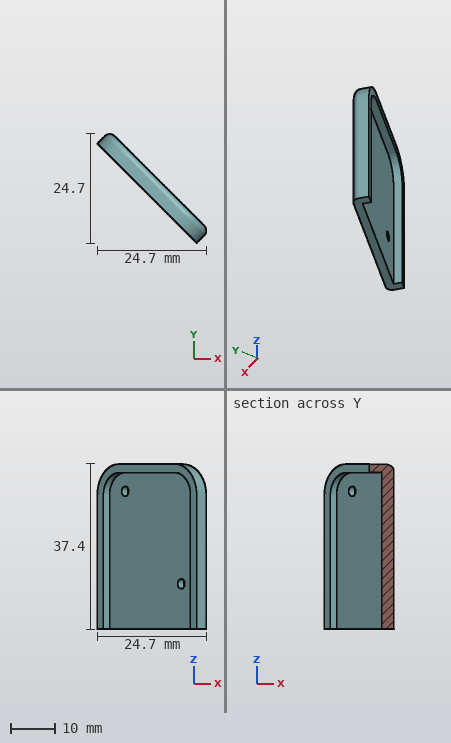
import cadquery as cq

width = 31.9
height = 37.42
thickness = 4.0
corner_radius = 7.0
back_fillet = 1.55

wall = 2.0
pocket_depth = 2.0

hole_diameter = 2.2
hole_side_offset = 8.98
upper_hole_height = 31.2
lower_hole_height = 10.25

turn_angle = -45.0


def arched_block(block_width, block_height, radius, depth):
    """Block standing on Z = 0 with rounded top corners, from Y = 0 to Y = depth."""
    return (
        cq.Workplane("XY")
        .box(block_width, depth, block_height, centered=(True, False, False))
        .edges("|Y and >Z")
        .fillet(radius)
    )


def outer_body():
    """Plate with its back edge rounded along the sides and top, square at the bottom."""
    body = arched_block(width, height, corner_radius, thickness)
    back_edges = body.faces(">Y").edges("not <Z")
    return body.newObject(back_edges.vals()).fillet(back_fillet)


def pocket():
    """Recess in the rim side, open at the bottom."""
    return arched_block(width - 2 * wall, height - wall, corner_radius - wall, pocket_depth)


def screw_holes():
    """Two diagonally placed holes through the whole thickness."""
    centers = [
        (-hole_side_offset, upper_hole_height),
        (hole_side_offset, lower_hole_height),
    ]
    return (
        cq.Workplane("XZ")
        .pushPoints(centers)
        .circle(hole_diameter / 2)
        .extrude(-thickness)
    )


cover = outer_body().cut(pocket()).cut(screw_holes())
result = cover.rotate((0, 0, 0), (0, 0, 1), turn_angle)